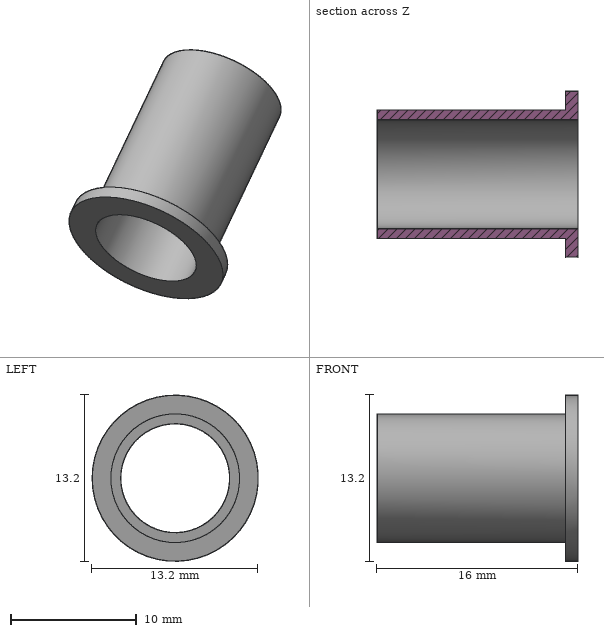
import cadquery as cq

total_length = 16.0
flange_thickness = 1.0
flange_diameter = 13.25
sleeve_diameter = 10.25
bore_diameter = 8.65

sleeve_length = total_length - flange_thickness

sleeve = cq.Workplane("YZ").circle(sleeve_diameter / 2).extrude(sleeve_length)

flange = (
    cq.Workplane("YZ", origin=(sleeve_length, 0, 0))
    .circle(flange_diameter / 2)
    .extrude(flange_thickness)
)

bore = cq.Workplane("YZ").circle(bore_diameter / 2).extrude(total_length)

result = sleeve.union(flange).cut(bore)